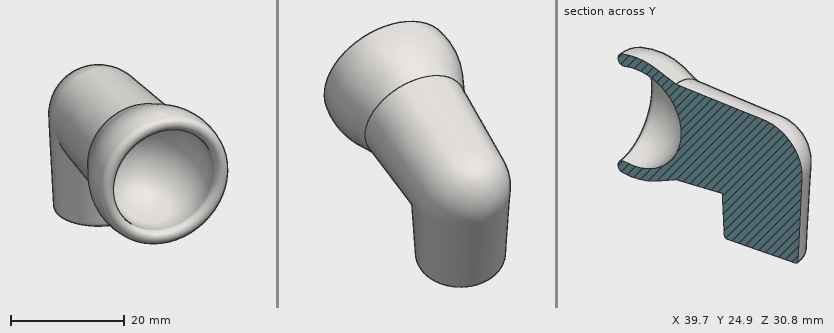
import cadquery as cq
import math

elbow_radius = 8.87
branch_draft = math.radians(3)
ball_radius = 12.47
ball_center_x = 27.2
end_x = 30.8
flare_angle = math.radians(22)
rim_radius = 1.25

leg_seam_z = -0.93
leg_bottom_z = -18.37
leg_bottom_radius = 7.96
leg_rim_fillet = 0.8

socket_radius = ball_radius - 2 * rim_radius


def circle_height(radius, offset):
    """Distance from the axis to a circle at an axial offset from its centre."""
    return math.sqrt(radius**2 - offset**2)


def ball_point(radius, angle):
    """Point at a radius and an angle from +X, measured about the ball centre."""
    return (ball_center_x + radius * math.cos(angle), radius * math.sin(angle))


def make_branch():
    """Half-profile in XZ turned about X: elbow sphere, draft cone, flare cone, ball, rim."""
    elbow_tangent = (-elbow_radius * math.sin(branch_draft), elbow_radius * math.cos(branch_draft))
    elbow_arc_mid = elbow_radius * math.sqrt(0.5)
    ball_tangent = ball_point(ball_radius, math.pi / 2 + flare_angle)

    draft_radius_at_origin = elbow_radius / math.cos(branch_draft)
    flare_radius_at_origin = ball_radius / math.cos(flare_angle) - ball_center_x * math.tan(flare_angle)
    neck_x = (draft_radius_at_origin - flare_radius_at_origin) / (
        math.tan(flare_angle) - math.tan(branch_draft)
    )
    neck_radius = draft_radius_at_origin + neck_x * math.tan(branch_draft)

    rim_offset = end_x - rim_radius - ball_center_x
    rim_distance = ball_radius - rim_radius
    rim_angle = math.acos(rim_offset / rim_distance)
    rim_tip = (end_x, circle_height(rim_distance, rim_offset))

    profile = (
        cq.Workplane("XZ")
        .moveTo(-elbow_radius, 0)
        .threePointArc((-elbow_arc_mid, elbow_arc_mid), elbow_tangent)
        .lineTo(neck_x, neck_radius)
        .lineTo(*ball_tangent)
        .threePointArc(ball_point(ball_radius, math.pi / 2), ball_point(ball_radius, rim_angle))
        .threePointArc(rim_tip, ball_point(socket_radius, rim_angle))
        .threePointArc(ball_point(socket_radius, math.pi / 2), ball_point(socket_radius, math.pi))
        .close()
    )
    return profile.revolve(360, (0, 0, 0), (1, 0, 0))


def make_leg():
    """Half-profile in XZ turned about Z: elbow sphere above a slightly tapered leg."""
    seam_radius = circle_height(elbow_radius, leg_seam_z)
    elbow_arc_mid = elbow_radius * math.sqrt(0.5)
    profile = (
        cq.Workplane("XZ")
        .moveTo(0, leg_bottom_z)
        .lineTo(leg_bottom_radius, leg_bottom_z)
        .lineTo(seam_radius, leg_seam_z)
        .threePointArc((elbow_arc_mid, elbow_arc_mid), (0, elbow_radius))
        .close()
    )
    leg = profile.revolve(360, (0, 0, 0), (0, 1, 0))
    return leg.faces("<Z").edges().fillet(leg_rim_fillet)


result = make_branch().union(make_leg())